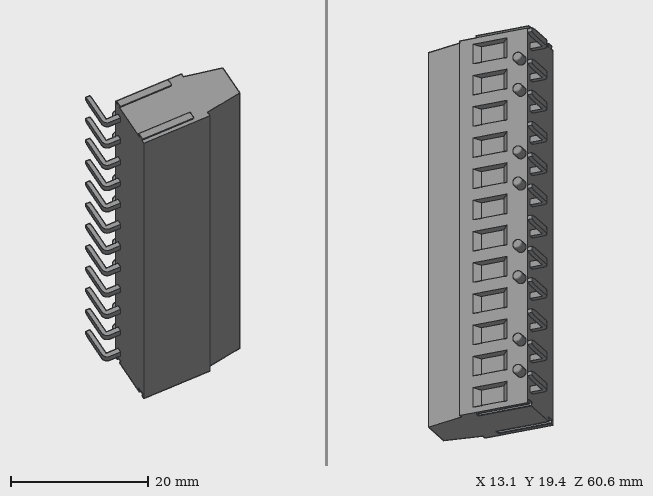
import cadquery as cq
import math


OVERALL_DEPTH = 19.45
POLES = 12
PITCH = 5.0
HOUSING_LENGTH = POLES * PITCH
HOUSING_WIDTH = 8.85
HOUSING_DEPTH = 16.8
SHOULDER_Y = 10.95
SHOULDER_LEFT = 0.6
SHOULDER_RIGHT = 0.75
CREST_LEFT = 1.85
CREST_RIGHT = 1.7

FUNNEL_MOUTH_Y = (3.3, 8.75)
FUNNEL_FLOOR_Y = (4.2, 7.8)
FUNNEL_MOUTH_HEIGHT = 3.1
FUNNEL_FLOOR_HEIGHT = 2.6
FUNNEL_DEPTH = 0.8

PIN_LEG_THICKNESS = 0.8
PIN_FOOT_THICKNESS = 0.7
PIN_BEND_RADIUS = 0.9
PIN_WIDTH = 0.95
PIN_REACH_X = -4.25
PIN_BACK_X = 1.65
PIN_LOW_Y = HOUSING_DEPTH - OVERALL_DEPTH
PIN_TIP_LENGTH = 1.0
PIN_TIP_WIDTH = 0.6
PIN_ROOT = 0.5

PEG_DIAMETER = 1.5
PEG_TIP_RADIUS = 0.37
PEG_LENGTH = 1.65
PEG_Y = 1.0
POLES_PER_PEG_GROUP = 3

RAIL_CENTERS_X = (0.95, HOUSING_WIDTH - 1.0)
RAIL_LENGTH = 8.5
RAIL_HEIGHT = 0.56
RAIL_WIDTH = 1.2
RAIL_CREST_WIDTH = 0.8
RAIL_CREST_BEVEL = 0.05
RAIL_NECK_WIDTH = 0.75
RAIL_NECK_HEIGHT = 0.12
GROOVE_DEPTH = 0.7


def pole_z(index):
    return (index + 0.5) * PITCH


def make_housing():
    outline = [
        (0, 0),
        (HOUSING_WIDTH, 0),
        (HOUSING_WIDTH, SHOULDER_Y),
        (HOUSING_WIDTH - SHOULDER_RIGHT, SHOULDER_Y),
        (HOUSING_WIDTH - CREST_RIGHT, HOUSING_DEPTH),
        (CREST_LEFT, HOUSING_DEPTH),
        (SHOULDER_LEFT, SHOULDER_Y),
        (0, SHOULDER_Y),
    ]
    return cq.Workplane("XY").polyline(outline).close().extrude(HOUSING_LENGTH)


def make_funnel(z):
    """Rectangular pocket that narrows from its mouth at x = 0 to its floor."""
    mouth_low, mouth_high = FUNNEL_MOUTH_Y
    floor_low, floor_high = FUNNEL_FLOOR_Y
    return (
        cq.Workplane("YZ")
        .center((mouth_low + mouth_high) / 2, z)
        .rect(mouth_high - mouth_low, FUNNEL_MOUTH_HEIGHT)
        .workplane(offset=FUNNEL_DEPTH)
        .center((floor_low + floor_high - mouth_low - mouth_high) / 2, 0)
        .rect(floor_high - floor_low, FUNNEL_FLOOR_HEIGHT)
        .loft(ruled=True)
    )


def make_pin(z):
    """L-shaped pin with a rounded outer bend and a tip tapered in width."""
    leg_x = PIN_BACK_X - PIN_LEG_THICKNESS
    foot_y = PIN_LOW_Y + PIN_FOOT_THICKNESS
    bend_x = PIN_BACK_X - PIN_BEND_RADIUS
    bend_y = PIN_LOW_Y + PIN_BEND_RADIUS
    bend_offset = PIN_BEND_RADIUS * math.sqrt(0.5)
    side = (
        cq.Workplane("XY", origin=(0, 0, z))
        .moveTo(PIN_REACH_X, PIN_LOW_Y)
        .lineTo(bend_x, PIN_LOW_Y)
        .threePointArc((bend_x + bend_offset, bend_y - bend_offset), (PIN_BACK_X, bend_y))
        .lineTo(PIN_BACK_X, PIN_ROOT)
        .lineTo(leg_x, PIN_ROOT)
        .lineTo(leg_x, foot_y)
        .lineTo(PIN_REACH_X, foot_y)
        .close()
        .extrude(PIN_WIDTH / 2, both=True)
    )
    shank_x = PIN_REACH_X + PIN_TIP_LENGTH
    plan = (
        cq.Workplane("XZ", origin=(0, PIN_ROOT, z))
        .polyline([
            (PIN_REACH_X, -PIN_TIP_WIDTH / 2),
            (shank_x, -PIN_WIDTH / 2),
            (PIN_BACK_X, -PIN_WIDTH / 2),
            (PIN_BACK_X, PIN_WIDTH / 2),
            (shank_x, PIN_WIDTH / 2),
            (PIN_REACH_X, PIN_TIP_WIDTH / 2),
        ])
        .close()
        .extrude(PIN_ROOT - PIN_LOW_Y)
    )
    return side.intersect(plan)


def make_peg(z):
    """Round peg with a rounded tip, revolved about its axis along X."""
    axis_start = (0, PEG_Y)
    axis_end = (-PEG_LENGTH, PEG_Y)
    return (
        cq.Workplane("XY", origin=(0, 0, z))
        .polyline([
            axis_start,
            (0, PEG_Y - PEG_DIAMETER / 2),
            (-PEG_LENGTH, PEG_Y - PEG_DIAMETER / 2),
            axis_end,
        ])
        .close()
        .revolve(360, axis_start, axis_end)
        .faces("<X")
        .edges()
        .fillet(PEG_TIP_RADIUS)
    )


def make_dovetail(center_x, base_z, height):
    """Dovetail bar along Y: straight neck on base_z, flared sides, bevelled crest."""
    neck = RAIL_NECK_WIDTH / 2
    side = RAIL_WIDTH / 2
    crest = RAIL_CREST_WIDTH / 2
    outline = [
        (-neck, 0),
        (neck, 0),
        (neck, RAIL_NECK_HEIGHT),
        (side, height - RAIL_CREST_BEVEL),
        (crest, height),
        (-crest, height),
        (-side, height - RAIL_CREST_BEVEL),
        (-neck, RAIL_NECK_HEIGHT),
    ]
    return (
        cq.Workplane("XZ", origin=(center_x, 0, base_z))
        .polyline(outline)
        .close()
        .extrude(-RAIL_LENGTH)
    )


result = make_housing()

for pole in range(POLES):
    result = result.cut(make_funnel(pole_z(pole)))
    result = result.union(make_pin(pole_z(pole)))

for gap in range(1, POLES):
    if gap % POLES_PER_PEG_GROUP != 0:
        result = result.union(make_peg(gap * PITCH))

for rail_x in RAIL_CENTERS_X:
    rail = make_dovetail(rail_x, HOUSING_LENGTH, RAIL_HEIGHT)
    groove = make_dovetail(rail_x, 0, GROOVE_DEPTH)
    result = result.union(rail).cut(groove)